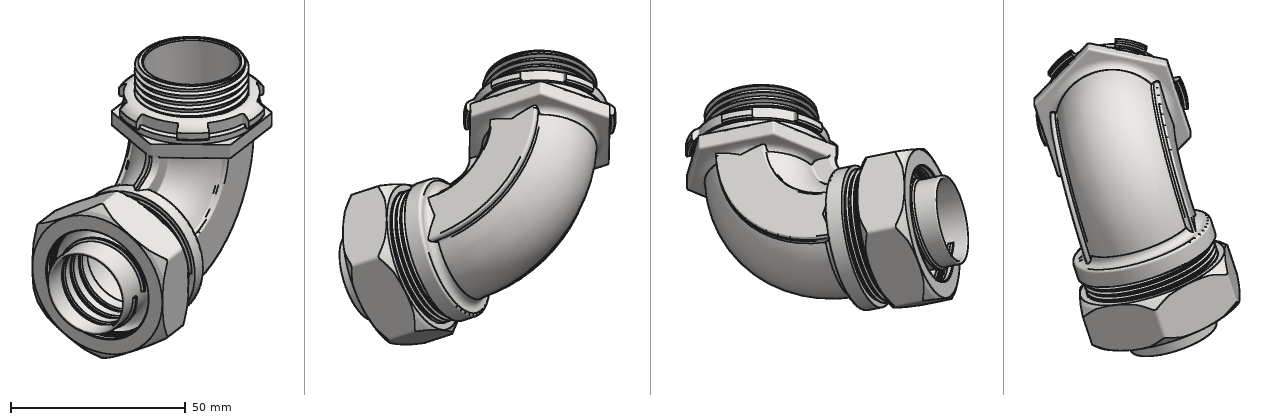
import cadquery as cq
import math

TOLERANCE = 1e-3
EMBED = 0.3
TAN_30 = math.tan(math.radians(30))

BEND_RADIUS = 27.6
TUBE_RADIUS = 16.4
BORE_RADIUS = 13.9
PAD_OUTER = 7.9
PAD_INNER = 7.4
PAD_FILLET = 0.75
FLARE_RADIUS = 2.3

FLANGE_THICKNESS = 4.7
FLANGE_FLATS = 40.0
FLANGE_CORNER_FILLET = 0.8
FLANGE_EDGE_FILLET = 0.7
NECK_TOP = 48.68
NECK_RADIUS = 15.3
NECK_CREST_RADIUS = 16.4
NECK_PITCH = 2.209
NECK_RIM_CHAMFER = 0.4
RIDGE_CREST = 0.15
NECK_RIDGE_BASE = 1.3
NECK_THREAD_BOTTOM = 35.5

COLLAR_RADIUS = 20.75
COLLAR_THICKNESS = 5.17
COLLAR_FILLET = 0.9
OUTLET_END = 44.0
OUTLET_RADIUS = 18.8
OUTLET_CREST_RADIUS = 19.7
OUTLET_PITCH = 1.5875
OUTLET_RIDGE_BASE = 1.1

RIB_WIDTH = 4.6
RIB_RIDGE = 0.8
RIB_ROOF_FILLET = 0.4
RIB_FOOT_FILLET = 0.6
RIB_DEPTH = 8.5
RIB_SLOPE = math.radians(25)
RIB_BEND_RADIUS = 5.2
RIB_TIP = 30.8

WASHER_RADIUS = 20.0
WASHER_THICKNESS = 1.9
RING_BORE_RADIUS = 16.45

LOCKNUT_HEIGHT = 4.95
LOCKNUT_RADIUS = 21.8
LOCKNUT_NOTCH_RADIUS = 19.5
NOTCH_FILLET = 0.6
LUG_COUNT = 6
LUG_ANGLE = 24.5
FIRST_LUG = 2.0

NUT_BACK = 38.05
NUT_FRONT = 52.55
NUT_FLATS = 43.6
NUT_CORNER_FILLET = 1.3
NUT_CHAMFER_HEIGHT = 2.8
NUT_CHAMFER_WIDTH = 3.3
NUT_FACE_RADIUS = 21.7
NUT_BREAK_WIDTH = 1.2
NUT_BREAK_HEIGHT = 0.65
NUT_BORE_RADIUS = 19.75
NUT_MOUTH_RADIUS = 16.95
NUT_MOUTH_CHAMFER = 0.25

GLAND_BACK = 47.5
GLAND_FRONT = 51.0
GLAND_FRONT_RADIUS = 18.25
GLAND_GROOVE_DEPTH = 0.4
GLAND_GROOVE_WIDTH = 0.6
GLAND_GROOVE_COUNT = 2

FERRULE_TIP = 58.73
FERRULE_TAIL = 38.0
FERRULE_RADIUS = 13.0
FERRULE_BORE_RADIUS = 12.05
FERRULE_TIP_FILLET = 0.45
CUP_RADIUS = 18.0
CUP_WALL = 1.0
BEAD_HEIGHT = 0.65
BEAD_WIDTH = 1.8
BEAD_PITCH = 4.7
BEAD_CREST = 0.8
ROOT_TURNS = 3
BEAD_END = 53.6
BEAD_ROOT_DEPTH = 0.4

flange_bottom = BEND_RADIUS
flange_top = flange_bottom + FLANGE_THICKNESS
washer_top = flange_top + WASHER_THICKNESS
collar_back = BEND_RADIUS
collar_front = collar_back + COLLAR_THICKNESS


def disc(radius, low, high):
    """A solid cylinder on the Z axis between two heights."""
    return cq.Workplane("XY").workplane(offset=low).circle(radius).extrude(high - low)


def tube(outer, inner, low, high):
    return disc(outer, low, high).cut(disc(inner, low, high))


def turned(points):
    """A solid of revolution about Z from (radius, height) points."""
    return cq.Workplane("XZ").polyline(points).close().revolve(360, (0, 0), (0, 1))


def to_outlet(shape):
    """Turn a shape built along +Z so that it lies along the outlet axis, -Y."""
    return shape.rotate((0, 0, 0), (1, 0, 0), 90)


def hexagon(flats, low, high, corner_fillet):
    """A hexagonal prism with two corners on the Y axis and rounded upright corners."""
    prism = cq.Workplane("XY").workplane(offset=low).polygon(6, flats / math.cos(math.pi / 6))
    prism = prism.extrude(high - low).rotate((0, 0, 0), (0, 0, 1), 30)
    return prism.edges("|Z").fillet(corner_fillet)


def helical_ridge(radius, height, width, crest_width, pitch, low, high):
    """A ridge of trapezoidal section winding round Z, sunk a little below its base radius."""
    sink = math.copysign(EMBED, height)
    root_width = width + (width - crest_width) * EMBED / abs(height)
    helix = cq.Wire.makeHelix(pitch, high - low, radius, cq.Vector(0, 0, low))
    section = cq.Workplane("XZ").polyline([
        (radius - sink, low - root_width / 2),
        (radius + height, low - crest_width / 2),
        (radius + height, low + crest_width / 2),
        (radius - sink, low + root_width / 2),
    ]).close()
    return section.sweep(cq.Workplane(helix), isFrenet=True)


def bend(section):
    """Revolve a section drawn about the inlet axis through the quarter bend."""
    return section.revolve(90, (0, -BEND_RADIUS, 0), (-1, -BEND_RADIUS, 0))


def bend_plane():
    return cq.Workplane("XY").workplane(offset=BEND_RADIUS)


def flare():
    """The concave ring that blends the tube into a flange standing at the bend end."""
    return (
        cq.Workplane("XZ")
        .moveTo(BORE_RADIUS, BEND_RADIUS - FLARE_RADIUS)
        .lineTo(TUBE_RADIUS, BEND_RADIUS - FLARE_RADIUS)
        .radiusArc((TUBE_RADIUS + FLARE_RADIUS, BEND_RADIUS), FLARE_RADIUS)
        .lineTo(TUBE_RADIUS + FLARE_RADIUS, BEND_RADIUS + EMBED)
        .lineTo(BORE_RADIUS, BEND_RADIUS + EMBED)
        .close()
        .revolve(360, (0, 0), (0, 1))
    )


def lies_on_rib_side(edge):
    box = edge.BoundingBox()
    on_side = abs((abs(box.xmin) + abs(box.xmax)) / 2 - RIB_WIDTH / 2) < TOLERANCE
    return on_side and box.xlen < TOLERANCE


def borders_rib_roof(edge):
    """True for the edges where the sides of the rib meet its roof."""
    on_flange = edge.Center().y < -FLANGE_FLATS / 2
    short_of_root = edge.Center().z > BORE_RADIUS and edge.geomType() == "CIRCLE"
    return lies_on_rib_side(edge) and on_flange and short_of_root


def borders_rib_foot(edge):
    """True for the edges where the sides of the rib meet the bent tube."""
    reach = edge.BoundingBox().zlen
    return lies_on_rib_side(edge) and edge.geomType() == "CIRCLE" and reach > RIB_DEPTH


def rib():
    """A rib that follows the flange corner down, then slopes out onto the collar."""
    corner_y = -FLANGE_FLATS / 2 / math.cos(math.pi / 6)
    ridge_y = corner_y + RIB_RIDGE / 2 * TAN_30
    top_z = flange_top - FLANGE_THICKNESS / 2
    turn = math.pi / 2 - RIB_SLOPE
    arc_end_y = ridge_y - RIB_BEND_RADIUS * (1 - math.cos(turn))
    arc_end_z = COLLAR_RADIUS + (RIB_TIP + arc_end_y) * math.tan(RIB_SLOPE)
    arc_top_z = arc_end_z + RIB_BEND_RADIUS * math.sin(turn)
    mid_y = ridge_y - RIB_BEND_RADIUS * (1 - math.cos(turn / 2))
    mid_z = arc_top_z - RIB_BEND_RADIUS * math.sin(turn / 2)
    path = (
        cq.Workplane("YZ")
        .moveTo(ridge_y, top_z)
        .lineTo(ridge_y, arc_top_z)
        .threePointArc((mid_y, mid_z), (arc_end_y, arc_end_z))
        .lineTo(-RIB_TIP, COLLAR_RADIUS)
    )
    half = RIB_WIDTH / 2
    section = cq.Workplane("XY").workplane(offset=top_z).polyline([
        (RIB_RIDGE / 2, ridge_y),
        (half, corner_y + half * TAN_30),
        (half, ridge_y + RIB_DEPTH),
        (-half, ridge_y + RIB_DEPTH),
        (-half, corner_y + half * TAN_30),
        (-RIB_RIDGE / 2, ridge_y),
    ]).close()
    swept = section.sweep(path)
    return swept.edges().filter(borders_rib_roof).fillet(RIB_ROOF_FILLET)


def bent_tube():
    """The outside of the bend: a round tube with a flat pad along each side."""
    section = bend_plane().circle(TUBE_RADIUS).extrude(-1)
    pads = bend_plane().center(0, (PAD_OUTER - PAD_INNER) / 2)
    section = section.union(pads.rect(2 * TUBE_RADIUS, PAD_OUTER + PAD_INNER).extrude(-1))
    section = section.edges("|Z").fillet(PAD_FILLET)
    return bend(section.faces(">Z").wires().toPending())


def threaded_neck():
    """The inlet tube with its thread running out through the chamfered end face."""
    run_out = NECK_TOP + 2 * NECK_PITCH
    ridge = helical_ridge(NECK_RADIUS, NECK_CREST_RADIUS - NECK_RADIUS, NECK_RIDGE_BASE, RIDGE_CREST,
                          NECK_PITCH, NECK_THREAD_BOTTOM, NECK_TOP + NECK_PITCH)
    neck = disc(NECK_RADIUS, flange_top, run_out).union(ridge)
    envelope_radius = NECK_CREST_RADIUS + EMBED
    envelope = turned([
        (BORE_RADIUS, flange_top),
        (envelope_radius, flange_top),
        (envelope_radius, NECK_TOP - (envelope_radius - NECK_RADIUS)),
        (NECK_RADIUS, NECK_TOP),
        (BORE_RADIUS + NECK_RIM_CHAMFER, NECK_TOP),
        (BORE_RADIUS, NECK_TOP - NECK_RIM_CHAMFER),
    ])
    return neck.intersect(envelope)


def elbow_body():
    bent = bent_tube().union(rib())
    bent = bent.edges().filter(borders_rib_foot).fillet(RIB_FOOT_FILLET)
    flange = hexagon(FLANGE_FLATS, flange_bottom, flange_top, FLANGE_CORNER_FILLET)
    flange = flange.faces("<Z").edges().fillet(FLANGE_EDGE_FILLET)
    collar = disc(COLLAR_RADIUS, collar_back, collar_front).faces("<Z").edges().fillet(COLLAR_FILLET)
    outlet = disc(OUTLET_RADIUS, collar_front, OUTLET_END)
    outlet_thread = helical_ridge(OUTLET_RADIUS, OUTLET_CREST_RADIUS - OUTLET_RADIUS, OUTLET_RIDGE_BASE,
                                  RIDGE_CREST, OUTLET_PITCH, collar_front,
                                  OUTLET_END - OUTLET_RIDGE_BASE)
    body = bent.union(flange).union(flare())
    body = body.union(to_outlet(collar)).union(to_outlet(flare())).union(to_outlet(outlet))
    bore = bend(bend_plane().circle(BORE_RADIUS))
    bore = bore.union(disc(BORE_RADIUS, BEND_RADIUS, NECK_TOP))
    bore = bore.union(to_outlet(disc(BORE_RADIUS, BEND_RADIUS, OUTLET_END)))
    body = body.cut(bore)
    return body.union(threaded_neck()).union(to_outlet(outlet_thread))


def sealing_washer():
    return tube(WASHER_RADIUS, RING_BORE_RADIUS, flange_top, washer_top)


def locknut():
    """A dished ring whose rim is notched into six turned-down lugs."""
    top = washer_top + LOCKNUT_HEIGHT
    ring = (
        cq.Workplane("XZ")
        .moveTo(RING_BORE_RADIUS, washer_top + 0.3)
        .lineTo(19.6, washer_top + 1.0)
        .lineTo(20.2, washer_top + 1.0)
        .lineTo(20.6, washer_top)
        .lineTo(21.4, washer_top)
        .lineTo(LOCKNUT_RADIUS, washer_top + 0.6)
        .lineTo(LOCKNUT_RADIUS, washer_top + 2.6)
        .threePointArc((20.2, top - 0.8), (RING_BORE_RADIUS, top))
        .close()
        .revolve(360, (0, 0), (0, 1))
    )
    notch_angle = 360 / LUG_COUNT - LUG_ANGLE
    notch = (
        cq.Workplane("XZ")
        .workplane(origin=(0, 0, washer_top))
        .moveTo(LOCKNUT_NOTCH_RADIUS, 0)
        .rect(2 * (LOCKNUT_RADIUS - LOCKNUT_NOTCH_RADIUS), LOCKNUT_HEIGHT, centered=(False, False))
        .revolve(notch_angle, (0, 0), (0, 1))
        .edges("|Z")
        .fillet(NOTCH_FILLET)
    )
    for i in range(LUG_COUNT):
        angle = FIRST_LUG + LUG_ANGLE / 2 + i * 360 / LUG_COUNT
        ring = ring.cut(notch.rotate((0, 0, 0), (0, 0, 1), angle))
    return ring


def compression_nut():
    nut = hexagon(NUT_FLATS, NUT_BACK, NUT_FRONT, NUT_CORNER_FILLET)
    corner = NUT_FACE_RADIUS + NUT_CHAMFER_WIDTH
    nut = nut.intersect(turned([
        (0, NUT_BACK),
        (NUT_FACE_RADIUS, NUT_BACK),
        (NUT_FACE_RADIUS + NUT_BREAK_WIDTH, NUT_BACK + NUT_BREAK_HEIGHT),
        (corner, NUT_BACK + NUT_CHAMFER_HEIGHT),
        (corner, NUT_FRONT - NUT_CHAMFER_HEIGHT),
        (NUT_FACE_RADIUS + NUT_BREAK_WIDTH, NUT_FRONT - NUT_BREAK_HEIGHT),
        (NUT_FACE_RADIUS, NUT_FRONT),
        (0, NUT_FRONT),
    ]))
    cavity = turned([
        (0, NUT_BACK),
        (NUT_BORE_RADIUS, NUT_BACK),
        (NUT_BORE_RADIUS, GLAND_BACK),
        (GLAND_FRONT_RADIUS, GLAND_FRONT),
        (NUT_MOUTH_RADIUS, GLAND_FRONT),
        (NUT_MOUTH_RADIUS, NUT_FRONT - NUT_MOUTH_CHAMFER),
        (NUT_MOUTH_RADIUS + NUT_MOUTH_CHAMFER, NUT_FRONT),
        (0, NUT_FRONT),
    ])
    return to_outlet(nut.cut(cavity))


def gland_ring():
    """A tapered ring held between the ferrule cup and the lip of the nut."""
    ring = turned([
        (NUT_MOUTH_RADIUS, GLAND_BACK),
        (NUT_BORE_RADIUS, GLAND_BACK),
        (GLAND_FRONT_RADIUS, GLAND_FRONT),
        (NUT_MOUTH_RADIUS, GLAND_FRONT),
    ])
    spacing = (GLAND_FRONT - GLAND_BACK) / (GLAND_GROOVE_COUNT + 1)
    for i in range(GLAND_GROOVE_COUNT):
        middle = GLAND_BACK + (i + 1) * spacing
        groove = disc(NUT_MOUTH_RADIUS + GLAND_GROOVE_DEPTH, middle - GLAND_GROOVE_WIDTH / 2,
                      middle + GLAND_GROOVE_WIDTH / 2)
        ring = ring.cut(groove)
    return to_outlet(ring)


def ferrule():
    """A tube with a round-bottomed cup standing out from it and a rolled helical bead."""
    trough_outer = CUP_RADIUS - CUP_WALL
    trough_radius = (trough_outer - FERRULE_RADIUS) / 2
    trough_center = OUTLET_END + CUP_WALL + trough_radius
    shell = (
        cq.Workplane("XZ")
        .moveTo(FERRULE_BORE_RADIUS, FERRULE_TAIL)
        .lineTo(FERRULE_RADIUS, FERRULE_TAIL)
        .lineTo(FERRULE_RADIUS, OUTLET_END)
        .lineTo(CUP_RADIUS, OUTLET_END)
        .lineTo(CUP_RADIUS, GLAND_BACK)
        .lineTo(trough_outer, GLAND_BACK)
        .lineTo(trough_outer, trough_center)
        .threePointArc((trough_outer - trough_radius, trough_center - trough_radius),
                       (FERRULE_RADIUS, trough_center))
        .lineTo(FERRULE_RADIUS, FERRULE_TIP)
        .lineTo(FERRULE_BORE_RADIUS, FERRULE_TIP)
        .close()
        .revolve(360, (0, 0), (0, 1))
    )
    shell = shell.faces(">Z").edges().fillet(FERRULE_TIP_FILLET)
    shell = shell.rotate((0, 0, 0), (0, 0, 1), 90)
    bead = helical_ridge(FERRULE_RADIUS, BEAD_HEIGHT, BEAD_WIDTH, BEAD_CREST, BEAD_PITCH,
                         BEAD_END - BEAD_PITCH, BEAD_END)
    root = helical_ridge(FERRULE_BORE_RADIUS, BEAD_ROOT_DEPTH, BEAD_WIDTH, BEAD_CREST, BEAD_PITCH,
                         BEAD_END - ROOT_TURNS * BEAD_PITCH, BEAD_END)
    return to_outlet(shell.union(bead).cut(root))


elbow = elbow_body()
washer = sealing_washer()
lock = locknut()
nut = compression_nut()
gland = gland_ring()
sleeve = ferrule()

result = cq.Compound.makeCompound(
    [elbow.val(), washer.val(), lock.val(), nut.val(), gland.val(), sleeve.val()]
)